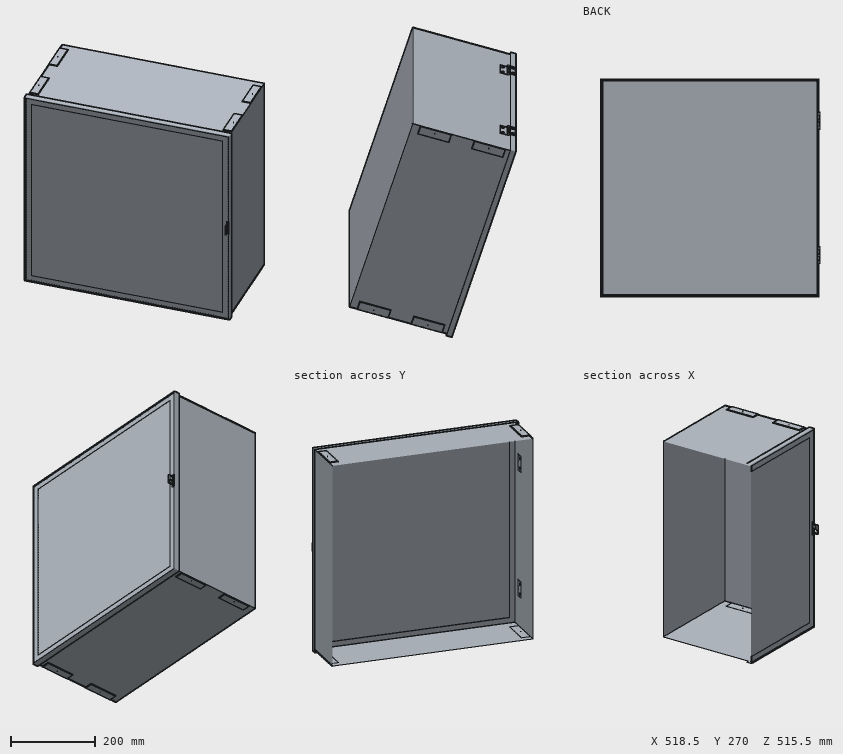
import cadquery as cq

SHEET = 1.5

DOOR_WIDTH = 516.5
DOOR_HEIGHT = 515.5
DOOR_DEPTH = 14.5
DOOR_BEND = 2.5
CORNER_BLEND = 0.9

BOX_SIDE_INSET = 4.0
BOX_BACK = 256.0
BOX_BEND = 2.5
LIP_WIDTH = 14.5
BOX_WIDTH = DOOR_WIDTH - 2 * BOX_SIDE_INSET
BOX_HEIGHT = DOOR_HEIGHT - 2 * BOX_SIDE_INSET
BOX_SIDE = BOX_WIDTH / 2
BOX_TOP = BOX_HEIGHT / 2
BOX_FRONT = SHEET

PAD_LENGTH = 78.0
PAD_WIDTH = 23.0
PAD_HEIGHT = 2.0
PAD_CHAMFER = 1.5
PAD_HOLE_DIAMETER = 0.8
PAD_HOLE_INSET = 10.0
PAD_PITCH = 133.5
REAR_PAD_INSET = 58.5
REAR_PAD_Y = BOX_BACK - REAR_PAD_INSET
PAD_CENTRES_Y = (REAR_PAD_Y, REAR_PAD_Y - PAD_PITCH)

HINGE_CENTRES_Z = (-158.5, 158.5)
HINGE_HEIGHT = 40.5
HINGE_OVERHANG = 2.0
LEAF_THICKNESS = 1.5
KNUCKLE_DIAMETER = 6.0
PIN_DIAMETER = 3.3
BARREL_Y = 20.0
BOX_LEAF_END_Y = 39.5
DOOR_LEAF_END_Y = 4.0
OUTER_JOINT = 13.0
INNER_JOINT = 2.5
JOINT_GAP = 0.5
HINGE_HALF = HINGE_HEIGHT / 2
DOOR_KNUCKLES = ((-HINGE_HALF, -OUTER_JOINT), (-INNER_JOINT, INNER_JOINT), (OUTER_JOINT, HINGE_HALF))
BOX_KNUCKLES = (
    (-OUTER_JOINT + JOINT_GAP, -INNER_JOINT - JOINT_GAP),
    (INNER_JOINT + JOINT_GAP, OUTER_JOINT - JOINT_GAP),
)
SCREW_OFFSET_Z = 12.5
BOX_SCREW_Y = 32.5
DOOR_SCREW_Y = 9.5
SCREW_HOLE_DIAMETER = 6.0
DOOR_SIDE_X = -DOOR_WIDTH / 2
BOX_SIDE_X = -BOX_SIDE
BARREL_X = DOOR_SIDE_X - HINGE_OVERHANG + KNUCKLE_DIAMETER / 2

HASP_X = DOOR_WIDTH / 2 - 6.0
HASP_THICKNESS = 1.5
HASP_REACH = 14.0
HASP_HEIGHT = 25.0
HASP_CORNER = 3.0
HASP_HOLE_DIAMETER = 9.5
HASP_HOLE_Y = -7.0
HASP_HOLE_Z = -5.0
TAB_WIDTH = 1.5
TAB_DEPTH = 8.0
TAB_HEIGHT = 8.5
TAB_TOP_INSET = 2.0
SLOT_X = DOOR_WIDTH / 2 - 5.5
SLOT_WIDTH = 5.5
SLOT_HEIGHT = 33.0


def block(x_range, y_range, z_range):
    """Axis-aligned block between the given pairs of limits."""
    ranges = (x_range, y_range, z_range)
    size = [high - low for low, high in ranges]
    corner = tuple(low for low, high in ranges)
    return cq.Workplane("XY").box(*size, centered=False).translate(corner)


def centred_block(width, height, y_front, y_back):
    """Block whose outline is centred on the Y axis."""
    return block((-width / 2, width / 2), (y_front, y_back), (-height / 2, height / 2))


def make_pad(x_sign, z_sign, y_centre):
    """Raised pad flush with a box side, with a small hole."""
    y_range = (y_centre - PAD_LENGTH / 2, y_centre + PAD_LENGTH / 2)
    pad = block((BOX_SIDE - PAD_WIDTH, BOX_SIDE), y_range, (BOX_TOP, BOX_TOP + PAD_HEIGHT))
    pad = pad.faces(">Z").edges().chamfer(PAD_CHAMFER)
    hole = (
        cq.Workplane("XY", origin=(BOX_SIDE - PAD_HOLE_INSET, y_centre, BOX_TOP))
        .circle(PAD_HOLE_DIAMETER / 2)
        .extrude(PAD_HEIGHT)
    )
    pad = pad.cut(hole)
    if x_sign < 0:
        pad = pad.mirror("YZ")
    if z_sign < 0:
        pad = pad.mirror("XY")
    return pad


def make_box():
    shell = centred_block(BOX_WIDTH, BOX_HEIGHT, BOX_FRONT, BOX_BACK)
    shell = shell.faces(">Y").edges().fillet(BOX_BEND)
    cavity = centred_block(
        BOX_WIDTH - 2 * SHEET, BOX_HEIGHT - 2 * SHEET, BOX_FRONT + SHEET, BOX_BACK - SHEET
    )
    opening = centred_block(
        BOX_WIDTH - 2 * LIP_WIDTH, BOX_HEIGHT - 2 * LIP_WIDTH, BOX_FRONT, BOX_FRONT + SHEET
    )
    box = shell.cut(cavity).cut(opening)
    for x_sign in (-1, 1):
        for z_sign in (-1, 1):
            for y_centre in PAD_CENTRES_Y:
                box = box.union(make_pad(x_sign, z_sign, y_centre))
    return box


def rounded_pan(width, height, y_front, radius):
    """Block with rounded corners and a rounded front rim, reaching back to the door's rear."""
    pan = centred_block(width, height, y_front, DOOR_DEPTH).edges("|Y").fillet(radius)
    return pan.faces("<Y").edges().fillet(radius * CORNER_BLEND)


def make_door():
    pan = rounded_pan(DOOR_WIDTH, DOOR_HEIGHT, 0, DOOR_BEND)
    hollow = rounded_pan(
        DOOR_WIDTH - 2 * SHEET, DOOR_HEIGHT - 2 * SHEET, SHEET, DOOR_BEND - SHEET
    )
    slot = block(
        (SLOT_X - SLOT_WIDTH / 2, SLOT_X + SLOT_WIDTH / 2),
        (0, SHEET),
        (-SLOT_HEIGHT / 2, SLOT_HEIGHT / 2),
    )
    return pan.cut(hollow).cut(slot)


def barrel(diameter, z_low, z_high):
    """Cylinder on the hinge axis."""
    return (
        cq.Workplane("XY", origin=(BARREL_X, BARREL_Y, z_low))
        .circle(diameter / 2)
        .extrude(z_high - z_low)
    )


def screw_holes(leaf, x_outer, y):
    """Cut the two screw holes of a leaf from its outer face."""
    points = [(-y, -SCREW_OFFSET_Z), (-y, SCREW_OFFSET_Z)]
    outer_plane = cq.Plane(origin=(x_outer, 0, 0), xDir=(0, -1, 0), normal=(-1, 0, 0))
    return (
        leaf.copyWorkplane(cq.Workplane(outer_plane))
        .pushPoints(points)
        .hole(SCREW_HOLE_DIAMETER, LEAF_THICKNESS)
    )


def knuckles(diameter, spans):
    """Cylinders on the hinge axis, one per span of heights."""
    group = barrel(diameter, *spans[0])
    for z_low, z_high in spans[1:]:
        group = group.union(barrel(diameter, z_low, z_high))
    return group


def make_box_leaf(z_centre):
    """Leaf on the box side, with two knuckles bored for the pin."""
    x_outer = BOX_SIDE_X - LEAF_THICKNESS
    leaf = block((x_outer, BOX_SIDE_X), (BARREL_Y, BOX_LEAF_END_Y), (-HINGE_HALF, HINGE_HALF))
    leaf = screw_holes(leaf, x_outer, BOX_SCREW_Y)
    leaf = leaf.cut(barrel(KNUCKLE_DIAMETER, -HINGE_HALF, HINGE_HALF))
    leaf = leaf.union(knuckles(KNUCKLE_DIAMETER, BOX_KNUCKLES))
    leaf = leaf.cut(barrel(PIN_DIAMETER, -HINGE_HALF, HINGE_HALF))
    return leaf.translate((0, 0, z_centre))


def make_door_leaf(z_centre):
    """Leaf on the door side, with three knuckles and the pin that joins them."""
    x_outer = DOOR_SIDE_X - LEAF_THICKNESS
    leaf = block((x_outer, DOOR_SIDE_X), (DOOR_LEAF_END_Y, BARREL_Y), (-HINGE_HALF, HINGE_HALF))
    leaf = screw_holes(leaf, x_outer, DOOR_SCREW_Y)
    notch_y = BARREL_Y - KNUCKLE_DIAMETER / 2 - JOINT_GAP
    leaf = leaf.cut(block((x_outer, DOOR_SIDE_X), (notch_y, BARREL_Y), (-OUTER_JOINT, OUTER_JOINT)))
    leaf = leaf.union(knuckles(KNUCKLE_DIAMETER, DOOR_KNUCKLES))
    leaf = leaf.union(barrel(PIN_DIAMETER, -HINGE_HALF, HINGE_HALF))
    return leaf.translate((0, 0, z_centre))


def make_hasp():
    """Plate with a padlock hole and a small tab on its -X face."""
    x_face = HASP_X - HASP_THICKNESS / 2
    half = HASP_HEIGHT / 2
    plate = block((x_face, x_face + HASP_THICKNESS), (-HASP_REACH, BOX_FRONT), (-half, half))
    plate = plate.faces("<Y").edges("|X").fillet(HASP_CORNER)
    tab_top = half - TAB_TOP_INSET
    tab = block((x_face - TAB_WIDTH, x_face), (-TAB_DEPTH, 0), (tab_top - TAB_HEIGHT, tab_top))
    hole = (
        cq.Workplane("YZ", origin=(x_face, HASP_HOLE_Y, HASP_HOLE_Z))
        .circle(HASP_HOLE_DIAMETER / 2)
        .extrude(HASP_THICKNESS)
    )
    return plate.union(tab).cut(hole)


box = make_box()
door = make_door()
hasp = make_hasp()
box_leaves = [make_box_leaf(z).val() for z in HINGE_CENTRES_Z]
door_leaves = [make_door_leaf(z).val() for z in HINGE_CENTRES_Z]

result = cq.Compound.makeCompound([box.val(), door.val(), hasp.val(), *box_leaves, *door_leaves])